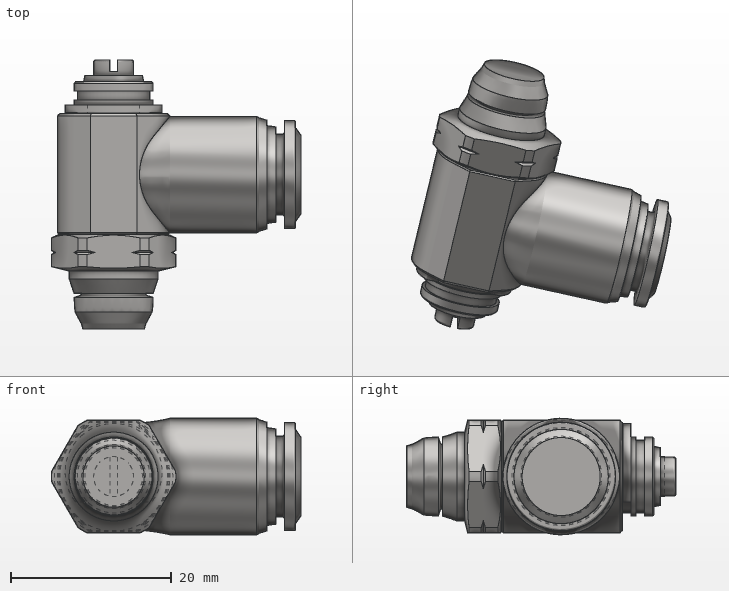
import cadquery as cq
import math


overall_length = 33.5

screw_end_y = 14.27
screw_radius = 2.48
screw_edge_radius = 0.3
slot_width = 0.95
slot_depth = 1.45

cone_end_y = 12.33
cone_end_radius = 3.6
cone_base_radius = 3.75
cap_end_y = 11.55
cap_radius = 4.92
cap_chamfer = 0.2
groove_radius = 4.52
groove_start_y = 10.4
groove_end_y = 9.28

clip_outer_radius = 6.03
clip_offset_z = 0.57
clip_end_y = 8.68
clip_start_y = 7.67
clip_tip_z = -3.15
clip_tip_radius = 0.35

body_end_y = 7.6
body_start_y = -7.37
half_flats = 7.0
body_chamfer = 0.3
body_rear_chamfer = 0.17

hex_start_y = -7.45
hex_end_y = -12.0
hex_corner_radius = 7.75
hex_front_face_radius = 6.8
hex_front_bevel = 0.45
hex_rear_bevel = 0.55
corner_notch_y = -9.68
corner_notch_depth = 0.37
corner_notch_half_width = 0.27

collar_radius = 5.53
collar_end_y = -12.95
taper_end_radius = 4.92
taper_end_y = -14.77
seal_groove_radius = 4.0
seal_groove_bend_radius = 0.4
seal_groove_bend_end_radius = 4.3
seal_groove_bend_end_y = -15.08
seal_start_y = -15.28
seal_start_radius = 4.92
seal_mid_y = -16.25
seal_mid_radius = 4.9
seal_end_y = -17.1
seal_end_radius = 4.8
nose_base_y = -18.53
nose_base_radius = 4.02
nose_end_y = screw_end_y - overall_length
nose_end_radius = 3.82

branch_diameter = 14.5
branch_radius = branch_diameter / 2
branch_start_x = 7.05
root_end_x = 3.0
root_mid_x = 5.02
root_mid_radius = 6.87
root_end_radius = 6.65
branch_end_x = 17.8
shoulder_x = 18.1
shoulder_radius = 7.07
shoulder_end_x = 19.05
shoulder_end_radius = 6.77
sleeve_radius = 6.1
sleeve_end_x = 20.17
sleeve_end_radius = 5.93
release_neck_radius = 5.02
release_neck_fillet = 0.27
release_ring_x = 21.25
release_ring_radius = 6.75
release_ring_edge_radius = 0.2
release_ring_end_x = 22.6
release_cone_radius = 5.85
release_end_x = 23.3
release_end_radius = 4.85


def cylinder_y(radius, start_y, end_y):
    """Cylinder on the Y axis; start_y is the larger of the two."""
    return cq.Workplane("XZ", origin=(0, start_y, 0)).circle(radius).extrude(start_y - end_y)


def revolve_y(points):
    """Turn an outline of (radius, y) points about the Y axis."""
    return cq.Workplane("XY").polyline(points).close().revolve(360, (0, 0), (0, 1))


def make_screw():
    screw = cylinder_y(screw_radius, screw_end_y, groove_start_y)
    screw = screw.faces(">Y").edges().fillet(screw_edge_radius)
    slot = cq.Workplane("XY").box(slot_width, 2 * slot_depth, 3 * screw_radius)
    return screw.cut(slot.translate((0, screw_end_y, 0)))


def make_bush():
    return revolve_y([
        (0, cone_end_y),
        (cone_end_radius, cone_end_y),
        (cone_base_radius, cap_end_y),
        (cap_radius - cap_chamfer, cap_end_y),
        (cap_radius, cap_end_y - cap_chamfer),
        (cap_radius, groove_start_y),
        (groove_radius, groove_start_y),
        (groove_radius, groove_end_y),
        (cap_radius, groove_end_y),
        (cap_radius, clip_end_y),
        (groove_radius, clip_end_y),
        (groove_radius, 0),
        (0, 0),
    ])


def make_clip():
    """Eccentric ring around the bush, open towards -Z, with rounded tips."""
    ring = cq.Workplane("XZ", origin=(0, clip_end_y, 0))
    ring = ring.center(0, clip_offset_z).circle(clip_outer_radius).extrude(clip_end_y - clip_start_y)
    size = 3 * clip_outer_radius
    opening = cq.Workplane("XY").box(size, size, size)
    opening = opening.translate((0, clip_end_y, clip_tip_z - size / 2))
    return ring.cut(opening).edges("|Y").fillet(clip_tip_radius)


def make_body():
    """Round on the sides, with flats at 45 degrees and on top and bottom."""
    corner_x = half_flats * math.tan(math.radians(22.5))
    tangent = half_flats * math.cos(math.radians(45))
    outline = (
        cq.Workplane("XZ", origin=(0, body_end_y, 0))
        .moveTo(-corner_x, half_flats)
        .lineTo(corner_x, half_flats)
        .lineTo(tangent, tangent)
        .threePointArc((half_flats, 0), (tangent, -tangent))
        .lineTo(corner_x, -half_flats)
        .lineTo(-corner_x, -half_flats)
        .lineTo(-tangent, -tangent)
        .threePointArc((-half_flats, 0), (-tangent, tangent))
        .close()
    )
    body = outline.extrude(body_end_y - body_start_y)
    body = body.faces(">Y").edges().chamfer(body_chamfer)
    return body.faces("<Y").edges().chamfer(body_rear_chamfer)


def make_hexagon():
    across_corners = 2 * half_flats / math.cos(math.radians(30))
    prism = cq.Workplane("XZ", origin=(0, hex_start_y, 0)).polygon(6, across_corners)
    prism = prism.extrude(hex_start_y - hex_end_y)
    notch_radius = hex_corner_radius - corner_notch_depth
    turned = revolve_y([
        (0, hex_start_y),
        (hex_front_face_radius, hex_start_y),
        (hex_corner_radius, hex_start_y - hex_front_bevel),
        (hex_corner_radius, corner_notch_y + corner_notch_half_width),
        (notch_radius, corner_notch_y),
        (hex_corner_radius, corner_notch_y - corner_notch_half_width),
        (hex_corner_radius, hex_end_y + hex_rear_bevel),
        (collar_radius, hex_end_y),
        (0, hex_end_y),
    ])
    return prism.intersect(turned)


def make_spigot():
    outline = (
        cq.Workplane("XY")
        .moveTo(0, 0)
        .lineTo(collar_radius, 0)
        .lineTo(collar_radius, collar_end_y)
        .lineTo(taper_end_radius, taper_end_y)
        .lineTo(seal_groove_radius, taper_end_y)
        .radiusArc((seal_groove_bend_end_radius, seal_groove_bend_end_y), -seal_groove_bend_radius)
        .lineTo(seal_start_radius, seal_start_y)
        .threePointArc((seal_mid_radius, seal_mid_y), (seal_end_radius, seal_end_y))
        .lineTo(nose_base_radius, nose_base_y)
        .lineTo(nose_end_radius, nose_end_y)
        .lineTo(0, nose_end_y)
        .close()
    )
    return outline.revolve(360, (0, 0), (0, 1))


def make_branch():
    neck_fillet_start = (release_ring_x - release_neck_fillet, release_neck_radius)
    neck_fillet_end = (release_ring_x, release_neck_radius + release_neck_fillet)
    ring_edge_start = (release_ring_end_x - release_ring_edge_radius, release_ring_radius)
    ring_edge_end = (release_ring_end_x, release_ring_radius - release_ring_edge_radius)
    outline = (
        cq.Workplane("XY")
        .moveTo(root_end_x, 0)
        .lineTo(root_end_x, root_end_radius)
        .threePointArc((root_mid_x, root_mid_radius), (branch_start_x, branch_radius))
        .lineTo(branch_end_x, branch_radius)
        .lineTo(shoulder_x, shoulder_radius)
        .lineTo(shoulder_end_x, shoulder_end_radius)
        .lineTo(shoulder_end_x, sleeve_radius)
        .lineTo(sleeve_end_x, sleeve_end_radius)
        .lineTo(sleeve_end_x, release_neck_radius)
        .lineTo(*neck_fillet_start)
        .radiusArc(neck_fillet_end, -release_neck_fillet)
        .lineTo(release_ring_x, release_ring_radius)
        .lineTo(*ring_edge_start)
        .radiusArc(ring_edge_end, release_ring_edge_radius)
        .lineTo(release_ring_end_x, release_cone_radius)
        .lineTo(release_end_x, release_end_radius)
        .lineTo(release_end_x, 0)
        .close()
    )
    return outline.revolve(360, (0, 0), (1, 0))


result = make_body()
features = (make_bush(), make_clip(), make_screw(), make_spigot(), make_hexagon(), make_branch())
for feature in features:
    result = result.union(feature)